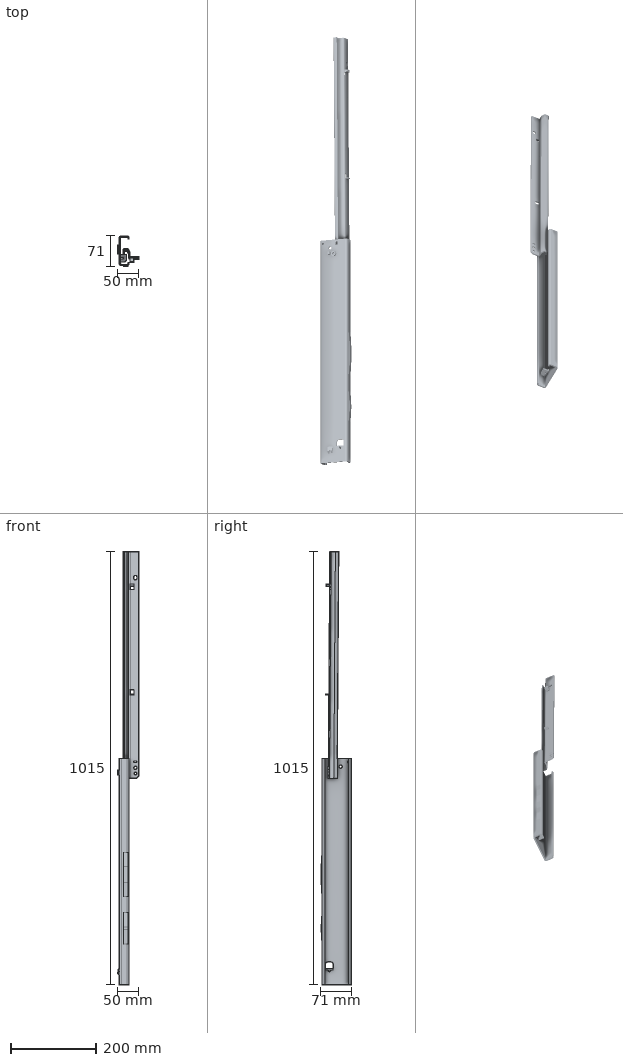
import cadquery as cq
import math

TOTAL_HEIGHT = 1015.0
MEMBER_LENGTH = 531.0
SHEET = 3.0
Z_BOTTOM = -TOTAL_HEIGHT / 2
Z_TOP = TOTAL_HEIGHT / 2

WEB_X = -21.0
CHANNEL_DEPTH = 23.0
CHANNEL_Y_MIN = -33.0
CHANNEL_Y_MAX = 36.0
LIP_HEIGHT = 7.0
FRONT_BEND = 5.0
BACK_BEND = 4.0
HOOK_HEIGHT = 3.6

EMBOSS_HEIGHT = 2.0
EMBOSS_X = -6.0
EMBOSS_WIDTH = 10.0
RAMP_LENGTH = 33.0
EMBOSSMENTS = [(-249.0, 37.0), (-375.0, 6.0)]

WINDOW_Y = -16.0
WINDOW_WIDTH = 18.0
WINDOW_SILL_Z = -469.0
WINDOW_HEIGHT = 15.0
WINDOW_CORNER = 6.0
SUPPORT_REACH = 14.0
SUPPORT_THICKNESS = 4.0
SUPPORT_CORNER = 4.0
SUPPORT_SLOT_LENGTH = 6.0
SUPPORT_SLOT_WIDTH = 3.0
SUPPORT_RELIEF_RADIUS = 3.0

RAIL_TILT = 0.4
LEG_X = -12.0
LEG_TIP_Y = -3.0
CROWN_Y = 6.0
CROWN_END_X = -1.0
SLANT_END_Y = -2.0
RAIL_WEB_X = 4.0
FLANGE_Y = -12.0
HOOK_TO_FLANGE_WIDTH = 50.0
LEG_BEND = 3.0
FLANGE_BEND = 4.0
FLANGE_CORNER = 5.0
HOLE_EDGE_DISTANCE = 8.0
TAB_Y_END = -23.0
TAB_HOLE_WIDTH = 9.0
TAB_HOLE_HEIGHT = 12.0

FLANGE_END_X = WEB_X - HOOK_HEIGHT + HOOK_TO_FLANGE_WIDTH
HOLE_X = FLANGE_END_X - HOLE_EDGE_DISTANCE
FLANGE_FRONT_Y = FLANGE_Y - SHEET
RAIL_BOTTOM = Z_TOP - MEMBER_LENGTH


def block(x_min, x_max, y_min, y_max, z_min, z_max):
    """A box given by its limits."""
    return cq.Workplane("XY").box(
        x_max - x_min, y_max - y_min, z_max - z_min, centered=False
    ).translate((x_min, y_min, z_min))


def web_plane(y, z):
    """Plane on the outer face of the cabinet web, drawn as (Y, Z), normal +X."""
    return cq.Workplane("YZ", origin=(WEB_X, y, z))


def flange_plane(x, z):
    """Plane on the front face of the rail flange, drawn as (Z, X), normal +Y."""
    return cq.Workplane("ZX", origin=(x, FLANGE_FRONT_Y, z))


def channel():
    x_end = WEB_X + CHANNEL_DEPTH
    z_end = Z_BOTTOM + MEMBER_LENGTH
    outer = block(WEB_X, x_end, CHANNEL_Y_MIN, CHANNEL_Y_MAX, Z_BOTTOM, z_end)
    hollow = block(WEB_X + SHEET, x_end - SHEET, CHANNEL_Y_MIN + SHEET, CHANNEL_Y_MAX - SHEET,
                   Z_BOTTOM, z_end)
    for side, bend in (("<Y", FRONT_BEND), (">Y", BACK_BEND)):
        outer = outer.edges("|Z").edges(side).fillet(bend)
        hollow = hollow.edges("|Z").edges(side).fillet(bend - SHEET)
    mouth = block(x_end - SHEET, x_end, CHANNEL_Y_MIN + LIP_HEIGHT, CHANNEL_Y_MAX - LIP_HEIGHT,
                  Z_BOTTOM, z_end)
    return outer.cut(hollow).cut(mouth)


def embossment(z_middle, flat_length):
    """A trapezoid with two long ramps, seated on the outside of the -Y flange."""
    flat = flat_length / 2
    foot = flat + RAMP_LENGTH
    y_seat = CHANNEL_Y_MIN + SHEET / 2
    y_crest = CHANNEL_Y_MIN - EMBOSS_HEIGHT
    points = [
        (y_seat, -foot),
        (CHANNEL_Y_MIN, -foot),
        (y_crest, -flat),
        (y_crest, flat),
        (CHANNEL_Y_MIN, foot),
        (y_seat, foot),
    ]
    plane = cq.Workplane("YZ", origin=(EMBOSS_X - EMBOSS_WIDTH / 2, 0, z_middle))
    return plane.polyline(points).close().extrude(EMBOSS_WIDTH)


def arched_window():
    """Window with a flat sill and rounded upper corners."""
    middle_z = WINDOW_SILL_Z + WINDOW_HEIGHT / 2
    window = web_plane(WINDOW_Y, middle_z).rect(WINDOW_WIDTH, WINDOW_HEIGHT).extrude(SHEET)
    return window.edges("|X and >Z").fillet(WINDOW_CORNER)


def support_tab():
    """Slotted horizontal tab standing inwards from the web below the window."""
    y_half = WINDOW_WIDTH / 2
    tab = block(WEB_X + SHEET / 2, WEB_X + SHEET + SUPPORT_REACH, WINDOW_Y - y_half,
                WINDOW_Y + y_half, WINDOW_SILL_Z - SUPPORT_THICKNESS, WINDOW_SILL_Z)
    tab = tab.edges("|Z and >X and <Y").chamfer(SUPPORT_CORNER)
    slot_x = WEB_X + SHEET
    slot = block(slot_x, slot_x + SUPPORT_SLOT_LENGTH, WINDOW_Y - SUPPORT_SLOT_WIDTH / 2,
                 WINDOW_Y + SUPPORT_SLOT_WIDTH / 2,
                 WINDOW_SILL_Z - SUPPORT_THICKNESS, WINDOW_SILL_Z)
    return tab.cut(slot)


def support_relief():
    """Half-round relief through the web, directly under the support tab."""
    relief_z = WINDOW_SILL_Z - SUPPORT_THICKNESS
    return web_plane(WINDOW_Y, relief_z).circle(SUPPORT_RELIEF_RADIUS).extrude(SHEET)


def upper_hooks():
    """Hollow round boss and a small square lug beside it, on the outside of the web."""
    boss_y, boss_z = 0.0, -10.0
    boss_radius, bore_radius = 6.0, 3.0
    lug_y, lug_z, lug_size = 12.0, -8.0, 6.0
    boss = web_plane(boss_y, boss_z).circle(boss_radius).circle(bore_radius).extrude(-HOOK_HEIGHT)
    lug = web_plane(lug_y, lug_z).rect(lug_size, lug_size).extrude(-HOOK_HEIGHT)
    return boss.union(lug)


def lower_hook():
    """Wedge-shaped catch with a slot open at its bottom, on the outside of the web."""
    hook_y, hook_width = 9.0, 12.0
    hook_top, hook_bottom, ridge_z = -470.0, -485.0, -480.0
    slot_width, slot_height = 4.0, 7.0
    brow_height = 2.0
    profile = [
        (WEB_X, hook_bottom),
        (WEB_X - HOOK_HEIGHT, ridge_z),
        (WEB_X - brow_height, hook_top),
        (WEB_X, hook_top),
    ]
    side = cq.Workplane("XZ", origin=(0, hook_y + hook_width / 2, 0))
    wedge = side.polyline(profile).close().extrude(hook_width)
    slot = block(WEB_X - HOOK_HEIGHT, WEB_X, hook_y - slot_width / 2, hook_y + slot_width / 2,
                 hook_bottom, hook_bottom + slot_height)
    return wedge.cut(slot)


def web_holes():
    """Round fixing hole, rectangular hole and small corner hole near the upper end."""
    fixing_y, fixing_z, fixing_radius = 10.0, 4.0, 3.6
    rect_y, rect_z, rect_width, rect_height = -6.0, 14.0, 5.0, 7.0
    corner_y, corner_z, corner_radius = 28.0, 15.0, 2.0
    fixing = web_plane(fixing_y, fixing_z).circle(fixing_radius).extrude(SHEET)
    rectangular = web_plane(rect_y, rect_z).rect(rect_width, rect_height).extrude(SHEET)
    corner = web_plane(corner_y, corner_z).circle(corner_radius).extrude(SHEET)
    return fixing.union(rectangular).union(corner)


def cabinet_member():
    body = channel()
    for z_middle, flat_length in EMBOSSMENTS:
        body = body.union(embossment(z_middle, flat_length))
    body = body.cut(arched_window()).cut(support_relief()).cut(web_holes())
    return body.union(support_tab()).union(upper_hooks()).union(lower_hook())


def offset_right(points, distance):
    """Open polyline moved sideways to the right of its direction, with mitred corners."""
    headings = [math.atan2(b[1] - a[1], b[0] - a[0]) for a, b in zip(points, points[1:])]
    before = [headings[0]] + headings
    after = headings + [headings[-1]]
    moved = []
    for (x, y), first, second in zip(points, before, after):
        heading = (first + second) / 2
        reach = distance / math.cos((second - first) / 2)
        moved.append((x + reach * math.sin(heading), y - reach * math.cos(heading)))
    return moved


def rail_strip():
    back = [
        (LEG_X, LEG_TIP_Y),
        (LEG_X, CROWN_Y),
        (CROWN_END_X, CROWN_Y),
        (RAIL_WEB_X, SLANT_END_Y),
        (RAIL_WEB_X, FLANGE_Y),
        (FLANGE_END_X, FLANGE_Y),
    ]
    front = offset_right(back, SHEET)
    strip = (
        cq.Workplane("XY", origin=(0, 0, RAIL_BOTTOM))
        .polyline(back + front[::-1]).close().extrude(MEMBER_LENGTH)
    )
    middle_z = RAIL_BOTTOM + MEMBER_LENGTH / 2
    bends = [(back[1], LEG_BEND), (front[4], FLANGE_BEND), (back[4], FLANGE_BEND - SHEET)]
    for (x, y), radius in bends:
        nearest = cq.selectors.NearestToPointSelector((x, y, middle_z))
        strip = strip.edges("|Z").edges(nearest).fillet(radius)
    return strip.edges("|Y and >X and <Z").chamfer(FLANGE_CORNER)


def flange_holes():
    """Upright slot near the top; slot, round fixing hole and small hole at the bottom."""
    upper_z, upper_length, upper_width = 447.0, 10.0, 7.0
    lower_z, lower_length, lower_width = 15.0, 7.0, 3.0
    fixing_z, fixing_radius = 1.0, 3.6
    small_z, small_radius = -12.0, 3.0
    across = 90
    upper_slot = flange_plane(HOLE_X, upper_z).slot2D(upper_length, upper_width).extrude(SHEET)
    lower_slot = flange_plane(HOLE_X, lower_z).slot2D(lower_length, lower_width, across).extrude(SHEET)
    fixing = flange_plane(HOLE_X, fixing_z).circle(fixing_radius).extrude(SHEET)
    small = flange_plane(HOLE_X, small_z).circle(small_radius).extrude(SHEET)
    return upper_slot.union(lower_slot).union(fixing).union(small)


def tab_hole(z_middle):
    x_start = RAIL_WEB_X
    return block(x_start, x_start + TAB_HOLE_WIDTH, FLANGE_FRONT_Y, FLANGE_Y,
                 z_middle - TAB_HOLE_HEIGHT / 2, z_middle + TAB_HOLE_HEIGHT / 2)


def folded_tab(z_min, thickness):
    """Tab standing forward from the flange at one edge of its hole."""
    x_start = RAIL_WEB_X
    return block(x_start, x_start + TAB_HOLE_WIDTH, TAB_Y_END, FLANGE_Y, z_min, z_min + thickness)


def rail_member():
    upper_hole_z, upper_tab = 425.0, 5.0
    lower_hole_z, lower_tab = 178.0, 2.0
    body = rail_strip().cut(flange_holes())
    body = body.cut(tab_hole(upper_hole_z)).cut(tab_hole(lower_hole_z))
    body = body.union(folded_tab(upper_hole_z + TAB_HOLE_HEIGHT / 2 - upper_tab, upper_tab))
    body = body.union(folded_tab(lower_hole_z - TAB_HOLE_HEIGHT / 2, lower_tab))
    pivot = (0, FLANGE_FRONT_Y, Z_TOP)
    return body.rotate(pivot, (1, FLANGE_FRONT_Y, Z_TOP), -RAIL_TILT)


cabinet = cabinet_member().solids()
rail = rail_member().solids()
result = cq.Compound.makeCompound([cabinet.val(), rail.val()])